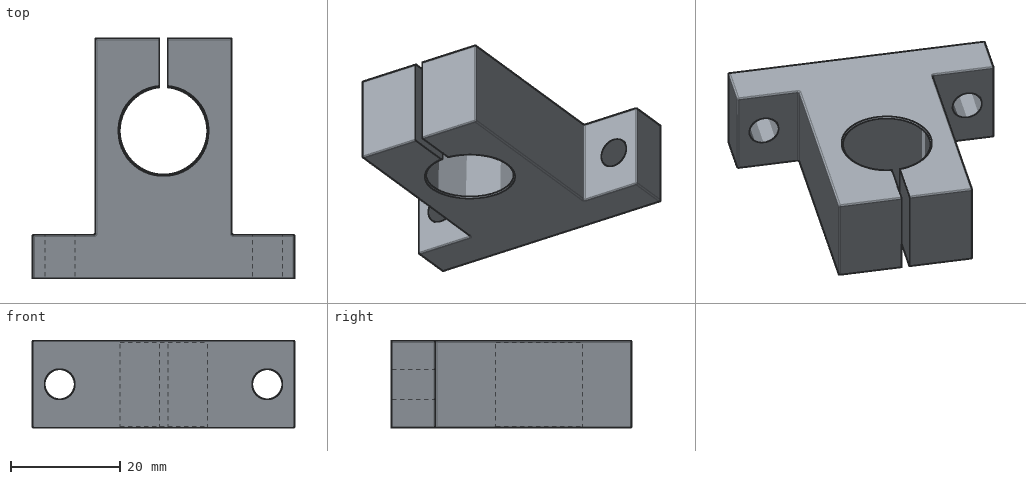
import cadquery as cq

base_width = 48.0
height = 44.0
thickness = 16.0
base_height = 8.0
body_width = 25.0

bore_diameter = 16.0
bore_center_height = 27.0
bore_chamfer = 0.3
slot_width = 1.5

bolt_diameter = 5.45
bolt_spacing = 38.0

edge_fillet = 0.3


def make_bracket():
    """Inverted T profile, with every edge rounded except those of the mounting face."""
    base = cq.Workplane("XY").box(base_width, base_height, thickness, centered=(True, False, True))
    body = cq.Workplane("XY").box(body_width, height, thickness, centered=(True, False, True))
    return base.union(body).edges("not(<Y)").fillet(edge_fillet)


def make_bore():
    """Through bore for the shaft, chamfered at both mouths."""
    center = cq.Workplane("XY", origin=(0, bore_center_height, -thickness / 2))
    bore = center.circle(bore_diameter / 2).extrude(thickness)
    mouth_radius = bore_diameter / 2 + bore_chamfer
    bottom_mouth = center.circle(mouth_radius).extrude(bore_chamfer, taper=45)
    top_mouth = bottom_mouth.mirror("XY")
    return bore.union(bottom_mouth).union(top_mouth)


def make_slot():
    """Clamping slot from the bore out through the far end."""
    slot_length = height - bore_center_height
    return (
        cq.Workplane("XY", origin=(0, bore_center_height, 0))
        .box(slot_width, slot_length, thickness, centered=(True, False, True))
    )


def make_bolt_holes():
    """Two holes through the base, along Y."""
    return (
        cq.Workplane("XZ")
        .pushPoints([(-bolt_spacing / 2, 0), (bolt_spacing / 2, 0)])
        .circle(bolt_diameter / 2)
        .extrude(-base_height)
    )


result = make_bracket().cut(make_bore()).cut(make_slot()).cut(make_bolt_holes())